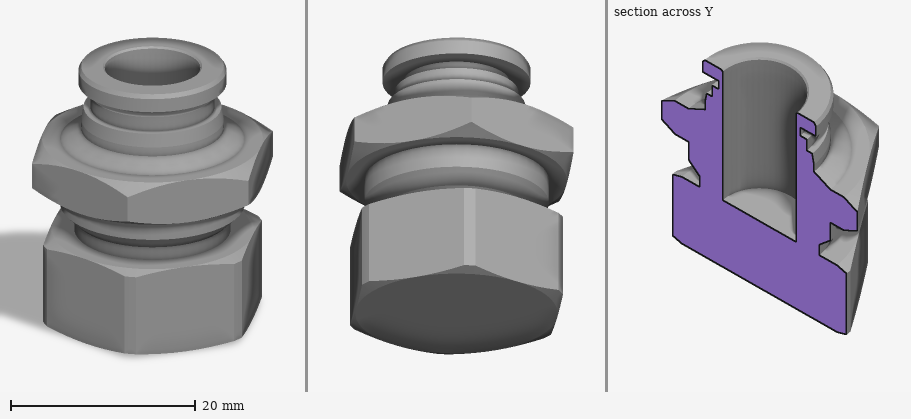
import cadquery as cq
import math

LOWER_HEX_FLATS = 22.0
LOWER_HEX_CORNER_DIAMETER = 24.7
LOWER_HEX_HEIGHT = 10.0
LOWER_HEX_CHAMFER_ANGLE = 18.0

COLLAR_RADIUS = 8.5
COLLAR_TOP = 11.5
BODY_RADIUS = 10.05
FLARE_TOP = COLLAR_TOP + (BODY_RADIUS - COLLAR_RADIUS)

UPPER_HEX_FLATS = 24.0
UPPER_HEX_HEIGHT = 5.0
UPPER_HEX_BOTTOM = 15.7
UPPER_HEX_TOP = UPPER_HEX_BOTTOM + UPPER_HEX_HEIGHT
UPPER_HEX_CHAMFER_ANGLE = 30.0

SLEEVE_RADIUS = 7.75
SLEEVE_BOTTOM = 21.95
SLEEVE_TAPER_START = 23.0
SLEEVE_TIP_RADIUS = 7.5
SLEEVE_TOP = 24.5
STEP_RADIUS = 6.75
STEP_TOP = 26.15
NECK_RADIUS = 5.8

TOTAL_HEIGHT = 29.3
BUTTON_RADIUS = 8.05
BUTTON_THICKNESS = 2.0
BUTTON_BOTTOM = TOTAL_HEIGHT - BUTTON_THICKNESS
BUTTON_CHAMFER_WIDTH = 0.3
BUTTON_CHAMFER_HEIGHT = 0.45
BORE_RADIUS = 5.2
BORE_CHAMFER = 0.2
BORE_FLOOR = LOWER_HEX_HEIGHT


def revolve_profile(points):
    """Revolve a closed (radius, height) outline about the Z axis."""
    return cq.Workplane("XZ").polyline(points).close().revolve(360, (0, 0), (0, 1))


def chamfered_hexagon(flats, corner_diameter, bottom, height, chamfer_angle):
    """Hexagonal prism with corners on X, turned to the corner diameter and chamfered at both ends."""
    flat_radius = flats / 2
    corner_radius = corner_diameter / 2
    prism_diameter = flats / math.cos(math.pi / 6)
    drop = (corner_radius - flat_radius) * math.tan(math.radians(chamfer_angle))
    top = bottom + height
    prism = cq.Workplane("XY").workplane(offset=bottom).polygon(6, prism_diameter).extrude(height)
    turned_envelope = revolve_profile([
        (0, bottom),
        (flat_radius, bottom),
        (corner_radius, bottom + drop),
        (corner_radius, top - drop),
        (flat_radius, top),
        (0, top),
    ])
    return prism.intersect(turned_envelope)


def round_body():
    """Turned core: collar, flare, body, shoulder cone, stepped sleeve and release button."""
    return revolve_profile([
        (0, 0),
        (COLLAR_RADIUS, 0),
        (COLLAR_RADIUS, COLLAR_TOP),
        (BODY_RADIUS, FLARE_TOP),
        (BODY_RADIUS, UPPER_HEX_TOP),
        (SLEEVE_RADIUS, SLEEVE_BOTTOM),
        (SLEEVE_RADIUS, SLEEVE_TAPER_START),
        (SLEEVE_TIP_RADIUS, SLEEVE_TOP),
        (STEP_RADIUS, SLEEVE_TOP),
        (STEP_RADIUS, STEP_TOP),
        (NECK_RADIUS, STEP_TOP),
        (NECK_RADIUS, BUTTON_BOTTOM),
        (BUTTON_RADIUS, BUTTON_BOTTOM),
        (BUTTON_RADIUS, TOTAL_HEIGHT - BUTTON_CHAMFER_HEIGHT),
        (BUTTON_RADIUS - BUTTON_CHAMFER_WIDTH, TOTAL_HEIGHT),
        (0, TOTAL_HEIGHT),
    ])


def tube_bore():
    """Blind tube socket with a chamfered mouth."""
    return revolve_profile([
        (0, BORE_FLOOR),
        (BORE_RADIUS, BORE_FLOOR),
        (BORE_RADIUS, TOTAL_HEIGHT - BORE_CHAMFER),
        (BORE_RADIUS + BORE_CHAMFER, TOTAL_HEIGHT),
        (0, TOTAL_HEIGHT),
    ])


lower_hexagon = chamfered_hexagon(
    LOWER_HEX_FLATS, LOWER_HEX_CORNER_DIAMETER, 0, LOWER_HEX_HEIGHT, LOWER_HEX_CHAMFER_ANGLE
)
upper_hexagon = chamfered_hexagon(
    UPPER_HEX_FLATS,
    UPPER_HEX_FLATS / math.cos(math.pi / 6),
    UPPER_HEX_BOTTOM,
    UPPER_HEX_HEIGHT,
    UPPER_HEX_CHAMFER_ANGLE,
)

result = round_body().union(lower_hexagon).union(upper_hexagon).cut(tube_bore())